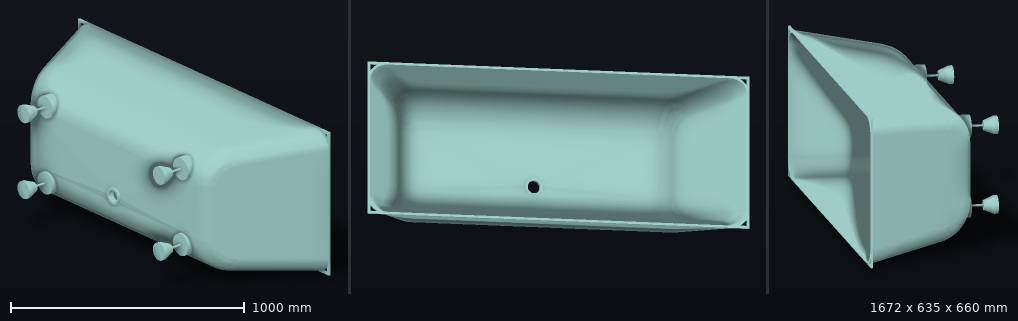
import cadquery as cq
import math


length = 1672.0
width = 660.0
depth = 498.0
wall = 10.0
lip_height = 10.0
end_slope = 26.8
side_slope = 6.0
side_radius = 167.0
end_radius = 84.0

frame_width = 12.0

floor_fall = 7.0
drain_z = -94.0
drain_diameter = 75.0
drain_bore = 55.0
drain_start = depth - wall
drain_end = 515.0

foot_x = 452.0
foot_z = 175.0
boss_diameter = 100.0
boss_start = 435.0
boss_end = drain_end
rod_diameter = 10.0
cone_start = 575.0
cone_top_diameter = 43.0
pad_diameter = 80.0
pad_start = 620.0
pad_end = 635.0

slanted_depth = depth - lip_height
end_run = slanted_depth * math.tan(math.radians(end_slope))
side_run = slanted_depth * math.tan(math.radians(side_slope))
end_tangent = end_radius * math.tan(math.radians(90 - end_slope) / 2)
side_tangent = side_radius * math.tan(math.radians(90 - side_slope) / 2)
floor_half_length = length / 2 - end_run - end_tangent
floor_half_width = width / 2 - side_run - side_tangent


def at_depth(level):
    """Workplane at a depth below the rim; its normal points deeper, its axes are X and Z."""
    return cq.Workplane("XZ", origin=(0, -level, 0))


def cylinder(diameter, start, end):
    return at_depth(start).circle(diameter / 2).extrude(end - start)


def tapered_prism(plane, rim_half, run, span):
    """Trapezoid from the lip down to the floor, extruded evenly to both sides of its plane."""
    corners = [
        (-rim_half, -lip_height),
        (rim_half, -lip_height),
        (rim_half - run, -depth),
        (run - rim_half, -depth),
    ]
    return cq.Workplane(plane).polyline(corners).close().extrude(span / 2, both=True)


def tub_form():
    """Solid outer form of the tub: leaning walls, rounded corners and a straight lip."""
    end_profile = tapered_prism("XY", length / 2, end_run, width)
    side_profile = tapered_prism("ZY", width / 2, side_run, length)
    form = end_profile.intersect(side_profile)
    form = form.faces("<Y").edges("|X").fillet(side_radius)
    form = form.faces("<X or >X").edges("not >Y").fillet(end_radius)
    lip = form.faces(">Y").wires().toPending().workplane().extrude(lip_height)
    return form.union(lip)


def floor_pyramid(base_level):
    """Shallow pyramid on the flat floor, with its tip at the drain."""
    corners = [
        cq.Vector(x, -base_level, z)
        for x, z in (
            (-floor_half_length, -floor_half_width),
            (floor_half_length, -floor_half_width),
            (floor_half_length, floor_half_width),
            (-floor_half_length, floor_half_width),
        )
    ]
    tip = cq.Vector(0, -base_level - floor_fall, drain_z)
    faces = [cq.Face.makeFromWires(cq.Wire.makePolygon(corners, close=True))]
    for i, corner in enumerate(corners):
        triangle = [corner, corners[(i + 1) % len(corners)], tip]
        faces.append(cq.Face.makeFromWires(cq.Wire.makePolygon(triangle, close=True)))
    return cq.Workplane(cq.Solid.makeSolid(cq.Shell.makeShell(faces)))


def frame():
    """Thin rectangular frame with square corners at the rim."""
    return (
        at_depth(0)
        .rect(length, width)
        .rect(length - 2 * frame_width, width - 2 * frame_width)
        .extrude(lip_height)
    )


def foot():
    """Foot on the Y axis: boss, rod, cone and pad."""
    cone = (
        at_depth(cone_start)
        .circle(cone_top_diameter / 2)
        .workplane(offset=pad_start - cone_start)
        .circle(pad_diameter / 2)
        .loft()
    )
    return (
        cylinder(boss_diameter, boss_start, boss_end)
        .union(cylinder(rod_diameter, boss_end, cone_start))
        .union(cone)
        .union(cylinder(pad_diameter, pad_start, pad_end))
    )


def make_tub():
    """Sheet tub in one piece with its frame and feet, with a hole for the drain ring."""
    form = tub_form()
    sheet = form.faces(">Y").shell(-wall)
    cavity = form.cut(sheet).union(floor_pyramid(depth - wall))
    tub = form.union(floor_pyramid(depth)).union(frame())
    for x in (-foot_x, foot_x):
        for z in (-foot_z, foot_z):
            tub = tub.union(foot().translate((x, 0, z)))
    drain_hole = cylinder(drain_diameter, drain_start, drain_end).translate((0, 0, drain_z))
    return tub.cut(cavity).cut(drain_hole)


def make_drain():
    """Ring that fills the hole in the floor and stands out below it."""
    ring = cylinder(drain_diameter, drain_start, drain_end)
    ring = ring.cut(cylinder(drain_bore, drain_start, drain_end))
    return ring.translate((0, 0, drain_z))


tub = make_tub()
drain = make_drain()
result = cq.Compound.makeCompound([tub.val(), drain.val()])